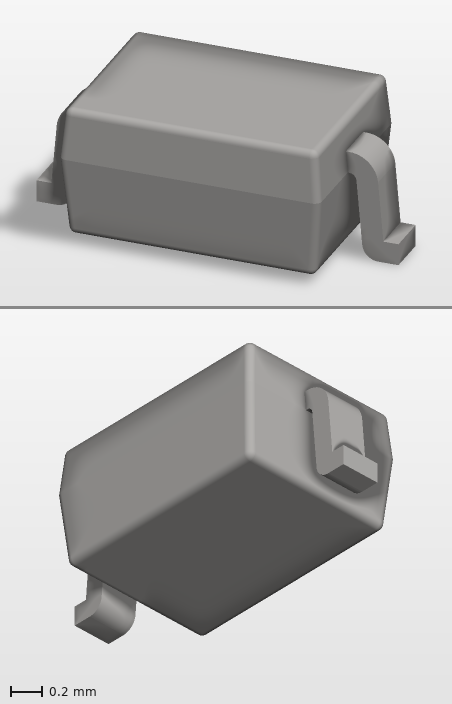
import cadquery as cq
import math


body_length = 1.8
body_width = 1.3
body_bottom = 0.05
parting_height = 0.6
body_top = 0.95
draft_angle = 5.0
edge_radius = 0.05

band_center_x = -0.495
band_width = 0.18
band_depth = 0.02

lead_span = 2.5
lead_width = 0.3
lead_thickness = 0.15
leg_angle = 5.0
leg_foot_x = 1.146
shoulder_outer_radius = 0.2
shoulder_inner_radius = shoulder_outer_radius - lead_thickness
heel_radius = 0.11
lead_embed = 0.2


def moulded_half(height):
    """Drafted block that starts at the parting plane and rises or falls by height."""
    return (
        cq.Workplane("XY", origin=(0, 0, parting_height))
        .workplane(invert=height < 0)
        .rect(body_length, body_width)
        .extrude(abs(height), taper=draft_angle)
    )


def make_body():
    """Both drafted halves joined at the parting plane, with every outer edge but that one rounded."""
    upper = moulded_half(body_top - parting_height)
    lower = moulded_half(body_bottom - parting_height)
    block = upper.union(lower)
    corner_and_face_edges = [
        edge for edge in block.edges().vals()
        if abs(edge.Center().z - parting_height) > edge_radius
    ]
    return block.newObject(corner_and_face_edges).fillet(edge_radius)


def make_band():
    """Strip under the flat top face that forms the polarity band."""
    draft_inset = (body_top - parting_height) * math.tan(math.radians(draft_angle))
    edge_setback = edge_radius * math.tan(math.radians((90 - draft_angle) / 2))
    flat_width = body_width - 2 * (draft_inset + edge_setback)
    return (
        cq.Workplane("XY", origin=(band_center_x, 0, body_top - band_depth))
        .box(band_width, flat_width, band_depth, centered=(True, True, False))
    )


def make_right_lead():
    """Gull-wing lead on the +X end, bent from a strip of constant thickness."""
    slope = math.tan(math.radians(leg_angle))
    leg_offset = lead_thickness / math.cos(math.radians(leg_angle))
    tip_x = lead_span / 2
    root_x = body_length / 2 - lead_embed
    lead_top = parting_height + lead_thickness

    def leg_outer_x(z):
        return leg_foot_x - (z - lead_thickness) * slope

    def leg_inner_x(z):
        return leg_outer_x(z) - leg_offset

    shoulder_outer = (leg_outer_x(lead_top), lead_top)
    shoulder_inner = (leg_inner_x(parting_height), parting_height)
    ankle = (leg_foot_x, lead_thickness)
    heel = (leg_inner_x(0), 0)
    lead = (
        cq.Workplane("XZ")
        .polyline([
            (root_x, lead_top),
            shoulder_outer,
            ankle,
            (tip_x, lead_thickness),
            (tip_x, 0),
            heel,
            shoulder_inner,
            (root_x, parting_height),
        ])
        .close()
        .extrude(lead_width / 2, both=True)
    )
    bends = [
        (shoulder_outer, shoulder_outer_radius),
        (shoulder_inner, shoulder_inner_radius),
        (heel, heel_radius),
    ]
    for (x, z), radius in bends:
        corner = cq.selectors.NearestToPointSelector((x, 0, z))
        lead = lead.edges("|Y").edges(corner).fillet(radius)
    return lead


body = make_body()
band = make_band()
right_lead = make_right_lead()
left_lead = right_lead.mirror("YZ")

package = body.union(right_lead).union(left_lead)
result = package.cut(band).union(band, clean=False)